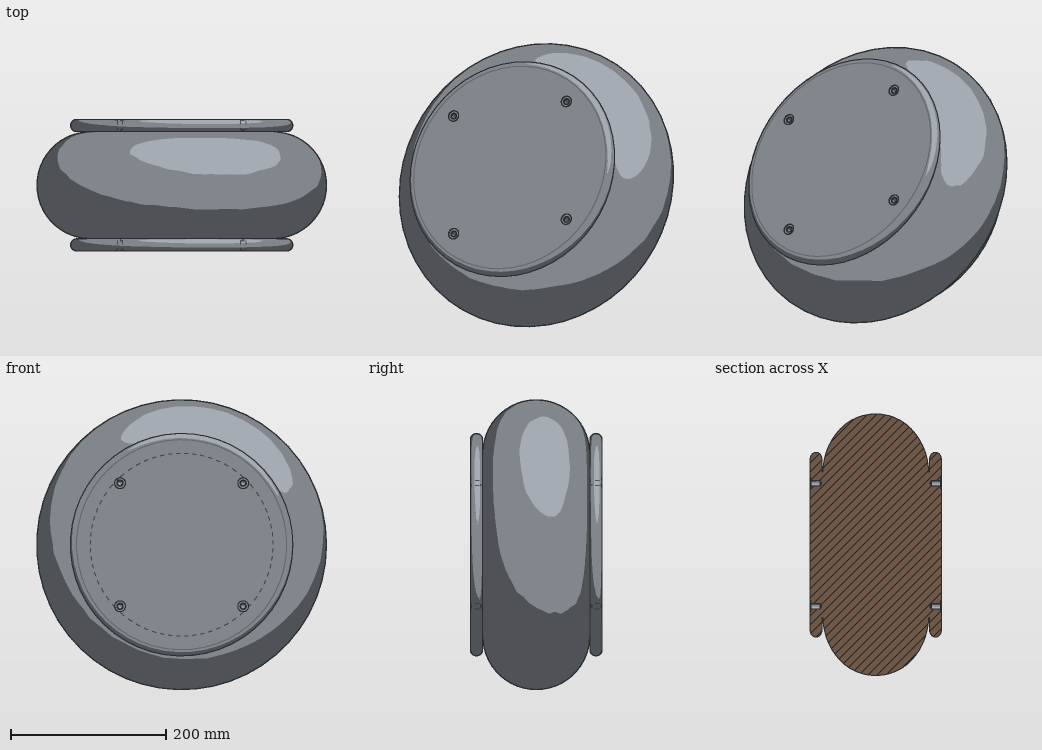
import math

import cadquery as cq

bellows_diameter = 374.0
overall_height = 170.0
plate_diameter = 287.0
plate_thickness = 16.0

hole_spacing = 158.8
recess_diameter = 14.0
recess_depth = 1.0
lead_in_diameter = 8.0
drill_diameter = 6.65
drill_depth = 13.0
drill_point_angle = 118.0

half_height = overall_height / 2
bellows_half_thickness = half_height - plate_thickness
plate_half_thickness = plate_thickness / 2
plate_centre_y = half_height - plate_half_thickness
recess_radius = recess_diameter / 2
lead_in_radius = lead_in_diameter / 2
drill_radius = drill_diameter / 2
lead_in_end = recess_depth + lead_in_radius - drill_radius
drill_point_height = drill_radius / math.tan(math.radians(drill_point_angle / 2))


def round_rimmed_disc(diameter, half_thickness, centre_y):
    """Disc around the Y axis whose rim is a full half round."""
    outer_radius = diameter / 2
    flat_radius = outer_radius - half_thickness
    return (
        cq.Workplane("XY")
        .moveTo(0, centre_y - half_thickness)
        .lineTo(flat_radius, centre_y - half_thickness)
        .threePointArc((outer_radius, centre_y), (flat_radius, centre_y + half_thickness))
        .lineTo(0, centre_y + half_thickness)
        .close()
        .revolve(360, (0, 0, 0), (0, 1, 0))
    )


def fixing_hole():
    """Blind hole along +Y from the origin: recess, 45 degree lead-in, bore and drill point."""
    return (
        cq.Workplane("XY")
        .lineTo(recess_radius, 0)
        .lineTo(recess_radius, recess_depth)
        .lineTo(lead_in_radius, recess_depth)
        .lineTo(drill_radius, lead_in_end)
        .lineTo(drill_radius, drill_depth)
        .lineTo(0, drill_depth + drill_point_height)
        .close()
        .revolve(360, (0, 0, 0), (0, 1, 0))
    )


def front_plate():
    """End plate on the -Y side with its four fixing holes."""
    plate = round_rimmed_disc(plate_diameter, plate_half_thickness, -plate_centre_y)
    offset = hole_spacing / 2
    for x in (-offset, offset):
        for z in (-offset, offset):
            plate = plate.cut(fixing_hole().translate((x, -half_height, z)))
    return plate


bellows = round_rimmed_disc(bellows_diameter, bellows_half_thickness, 0)
front = front_plate()
back = front.mirror("XZ")
result = bellows.union(front).union(back)